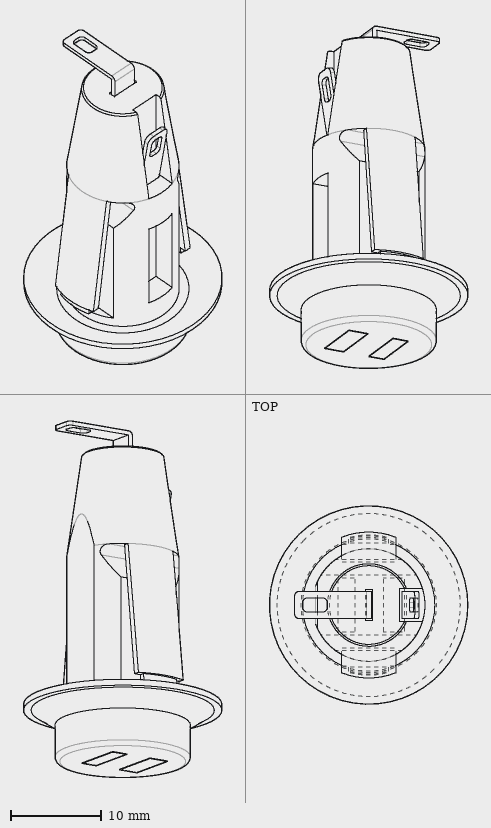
import cadquery as cq
import math

TOTAL_HEIGHT = 37.6
BODY_TOP_Z = 35.08
CONE_BASE_Z = 23.42
FLANGE_TOP_Z = 6.6
FLANGE_RIM_HEIGHT = 0.68
DISH_FLOOR_Z = 4.95
LENS_TOP_Z = 4.25
MARK_HEIGHT = 0.08

FLANGE_DIAMETER = 22.0
FLARE_DIAMETER = 20.3
LENS_DIAMETER = 15.0
DISH_FLOOR_DIAMETER = 14.65
BODY_DIAMETER = 12.5
BODY_TOP_DIAMETER = 9.1
LENS_EDGE_RADIUS = 0.53
BODY_TOP_CHAMFER = 0.2

MARK_LENGTH = 6.0
MARKS = ((-2.45, 1.88), (2.8, 2.35))

SIDE_FLAT_X = -5.65
FLAT_FOOT_RADIUS = 0.23

POCKET_FLAT_Y = 5.05
POCKET_FLOOR_Z = 6.13
POCKET_SLOPE_Z = 19.6
POCKET_TOP_Y = 2.7
POCKET_ROOT_RADIUS = 0.8

LEG_HALF_WIDTH = 3.0
LEG_BOTTOM_Z = 8.25
LEG_BOTTOM_RADIUS = 8.1
LEG_INNER_TOP_Y = 4.78
LEG_INNER_BOTTOM_Y = 6.73
LEG_TIP_HALF_WIDTH = 2.2
LEG_TIP_LENGTH = 0.9
LEG_TIP_STEP = 0.4

CHANNEL_WIDTH = 3.6
CHANNEL_INNER_X = 3.42
BRIDGE_BOTTOM_Z = 18.88
WINDOW_BOTTOM_Z = 7.85

STRIP_WIDTH = 3.0
STRIP_THICKNESS = 0.5
STRIP_HOLE_LENGTH = 2.7
STRIP_HOLE_WIDTH = 1.58
STRIP_HOLE_RADIUS = 0.53
STRIP_HOLE_END_GAP = 0.9
TERMINAL_END_X = -8.2
TERMINAL_BACK_X = 0.3
TERMINAL_STEM_THICKNESS = 0.55
TERMINAL_CORNER_RADIUS = 0.5
TERMINAL_BEND_RADIUS = 0.53
TERMINAL_SOCKET_LENGTH = 0.8
TERMINAL_SOCKET_WIDTH = 3.45
TERMINAL_SOCKET_DEPTH = 0.75
SPRING_TIP_X = 5.6
SPRING_TIP_Z = 31.8
SPRING_LEAN = 9.5
SPRING_LENGTH = 9.78
SPRING_CORNER_RADIUS = 0.8


def box(x_range, y_range, z_range):
    """Box between the given limits along X, Y and Z."""
    (x0, x1), (y0, y1), (z0, z1) = x_range, y_range, z_range
    return cq.Workplane("XY").box(x1 - x0, y1 - y0, z1 - z0, centered=False).translate((x0, y0, z0))


def make_flange_and_lens():
    """Dished flange with the round lens below it."""
    rim_bottom_z = FLANGE_TOP_Z - FLANGE_RIM_HEIGHT
    return (
        cq.Workplane("XZ")
        .moveTo(0, MARK_HEIGHT)
        .lineTo(LENS_DIAMETER / 2 - LENS_EDGE_RADIUS, MARK_HEIGHT)
        .radiusArc((LENS_DIAMETER / 2, MARK_HEIGHT + LENS_EDGE_RADIUS), -LENS_EDGE_RADIUS)
        .lineTo(LENS_DIAMETER / 2, LENS_TOP_Z)
        .lineTo(FLARE_DIAMETER / 2, rim_bottom_z)
        .lineTo(FLANGE_DIAMETER / 2, rim_bottom_z)
        .lineTo(FLANGE_DIAMETER / 2, FLANGE_TOP_Z)
        .lineTo(DISH_FLOOR_DIAMETER / 2, DISH_FLOOR_Z)
        .lineTo(0, DISH_FLOOR_Z)
        .close()
        .revolve(360, (0, 0), (0, 1))
    )


def make_marks():
    """Two low pads under the lens, sunk into it as far as they stand proud."""
    pads = cq.Workplane("XY")
    for centre_x, width in MARKS:
        pad = cq.Workplane("XY").center(centre_x, 0).rect(width, MARK_LENGTH).extrude(2 * MARK_HEIGHT)
        pads = pads.union(pad)
    return pads


def make_leg_pocket():
    """Cut on the +Y side: upright flat, then a slope running in under the cone."""
    outside_y = BODY_DIAMETER
    return (
        cq.Workplane("YZ")
        .polyline([
            (outside_y, POCKET_FLOOR_Z),
            (POCKET_FLAT_Y, POCKET_FLOOR_Z),
            (POCKET_FLAT_Y, POCKET_SLOPE_Z),
            (POCKET_TOP_Y, CONE_BASE_Z),
            (outside_y, CONE_BASE_Z),
        ])
        .close()
        .extrude(BODY_DIAMETER / 2, both=True)
        .edges(cq.selectors.NearestToPointSelector((0, POCKET_TOP_Y, CONE_BASE_Z)))
        .fillet(POCKET_ROOT_RADIUS)
    )


def make_body():
    """Round body with a tapered head, leg pockets, side flat and contact channel."""
    cylinder = (
        cq.Workplane("XY")
        .workplane(offset=DISH_FLOOR_Z)
        .circle(BODY_DIAMETER / 2)
        .extrude(CONE_BASE_Z - DISH_FLOOR_Z)
    )
    head = (
        cq.Workplane("XY")
        .workplane(offset=CONE_BASE_Z)
        .circle(BODY_DIAMETER / 2)
        .workplane(offset=BODY_TOP_Z - CONE_BASE_Z)
        .circle(BODY_TOP_DIAMETER / 2)
        .loft()
        .faces(">Z")
        .chamfer(BODY_TOP_CHAMFER)
    )
    pocket = make_leg_pocket()
    body = cylinder.cut(pocket).cut(pocket.mirror("XZ")).union(head)

    reach = BODY_DIAMETER
    half_channel = CHANNEL_WIDTH / 2
    side_flat = box((-reach, SIDE_FLAT_X), (-reach, reach), (DISH_FLOOR_Z, BODY_TOP_Z))
    body = body.cut(side_flat)
    for z_range in ((WINDOW_BOTTOM_Z, BRIDGE_BOTTOM_Z), (CONE_BASE_Z, TOTAL_HEIGHT)):
        body = body.cut(box((CHANNEL_INNER_X, reach), (-half_channel, half_channel), z_range))

    socket_back_x = TERMINAL_BACK_X + (TERMINAL_SOCKET_LENGTH - TERMINAL_STEM_THICKNESS) / 2
    socket = box(
        (socket_back_x - TERMINAL_SOCKET_LENGTH, socket_back_x),
        (-TERMINAL_SOCKET_WIDTH / 2, TERMINAL_SOCKET_WIDTH / 2),
        (BODY_TOP_Z - TERMINAL_SOCKET_DEPTH, BODY_TOP_Z),
    )
    return body.cut(socket)


def make_flat_foot():
    """Concave fillet between the side flat and the dish floor."""
    half_flat = math.sqrt((BODY_DIAMETER / 2) ** 2 - SIDE_FLAT_X ** 2)
    toe_x = SIDE_FLAT_X - FLAT_FOOT_RADIUS
    top_z = DISH_FLOOR_Z + FLAT_FOOT_RADIUS
    foot = (
        cq.Workplane("XZ")
        .moveTo(SIDE_FLAT_X, DISH_FLOOR_Z)
        .lineTo(SIDE_FLAT_X, top_z)
        .radiusArc((toe_x, DISH_FLOOR_Z), FLAT_FOOT_RADIUS)
        .close()
        .extrude(half_flat, both=True)
    )
    round_outline = cq.Workplane("XY").circle(BODY_DIAMETER / 2).extrude(top_z)
    return foot.intersect(round_outline)


def make_tapered_piece(radius_inset, half_width, bottom_z):
    """Slice of the leg's cone on the +Y side, flat on the inside."""
    height = CONE_BASE_Z - LEG_BOTTOM_Z
    outer_slope = (LEG_BOTTOM_RADIUS - BODY_DIAMETER / 2) / height
    inner_slope = (LEG_INNER_BOTTOM_Y - LEG_INNER_TOP_Y) / height
    drop = CONE_BASE_Z - bottom_z
    top_radius = BODY_DIAMETER / 2 - radius_inset
    cone = (
        cq.Workplane("XZ")
        .polyline([
            (0, bottom_z),
            (top_radius + outer_slope * drop, bottom_z),
            (top_radius, CONE_BASE_Z),
            (0, CONE_BASE_Z),
        ])
        .close()
        .revolve(360, (0, 0), (0, 1))
    )
    outside_y = 2 * LEG_BOTTOM_RADIUS
    slab = (
        cq.Workplane("YZ")
        .polyline([
            (LEG_INNER_TOP_Y + inner_slope * drop, bottom_z),
            (outside_y, bottom_z),
            (outside_y, CONE_BASE_Z),
            (LEG_INNER_TOP_Y, CONE_BASE_Z),
        ])
        .close()
        .extrude(half_width, both=True)
    )
    return cone.intersect(slab)


def make_leg():
    """Spring leg on the +Y side with a narrower, thinner tip."""
    leg = make_tapered_piece(0, LEG_HALF_WIDTH, LEG_BOTTOM_Z)
    tip = make_tapered_piece(LEG_TIP_STEP, LEG_TIP_HALF_WIDTH, LEG_BOTTOM_Z - LEG_TIP_LENGTH)
    return leg.union(tip)


def make_strip(length, corner_radius):
    """Flat strip with its free end at the origin, running along +X below the XY plane."""
    strip = (
        cq.Workplane("XY")
        .center(length / 2, 0)
        .rect(length, STRIP_WIDTH)
        .extrude(-STRIP_THICKNESS)
        .edges("|Z and <X")
        .fillet(corner_radius)
    )
    hole = (
        cq.Workplane("XY")
        .center(STRIP_HOLE_END_GAP + STRIP_HOLE_LENGTH / 2, 0)
        .rect(STRIP_HOLE_LENGTH, STRIP_HOLE_WIDTH)
        .extrude(-STRIP_THICKNESS)
        .edges("|Z")
        .fillet(STRIP_HOLE_RADIUS)
    )
    return strip.cut(hole)


def make_terminal():
    """Bent terminal standing in the top of the body and reaching toward -X."""
    arm = make_strip(TERMINAL_BACK_X - TERMINAL_END_X, TERMINAL_CORNER_RADIUS)
    arm = arm.translate((TERMINAL_END_X, 0, TOTAL_HEIGHT))
    stem = box(
        (TERMINAL_BACK_X - TERMINAL_STEM_THICKNESS, TERMINAL_BACK_X),
        (-STRIP_WIDTH / 2, STRIP_WIDTH / 2),
        (BODY_TOP_Z - TERMINAL_SOCKET_DEPTH, TOTAL_HEIGHT),
    )
    return arm.union(stem).edges("|Y and >X and >Z").fillet(TERMINAL_BEND_RADIUS)


def make_side_spring():
    """Contact spring leaning outward from the floor of the side channel."""
    spring = make_strip(SPRING_LENGTH, SPRING_CORNER_RADIUS)
    spring = spring.rotate((0, 0, 0), (0, 1, 0), 90 + SPRING_LEAN)
    return spring.translate((SPRING_TIP_X, 0, SPRING_TIP_Z))


leg = make_leg()
result = (
    make_flange_and_lens()
    .union(make_marks())
    .union(make_body())
    .union(make_flat_foot())
    .union(leg)
    .union(leg.mirror("XZ"))
    .union(make_terminal())
    .union(make_side_spring())
)